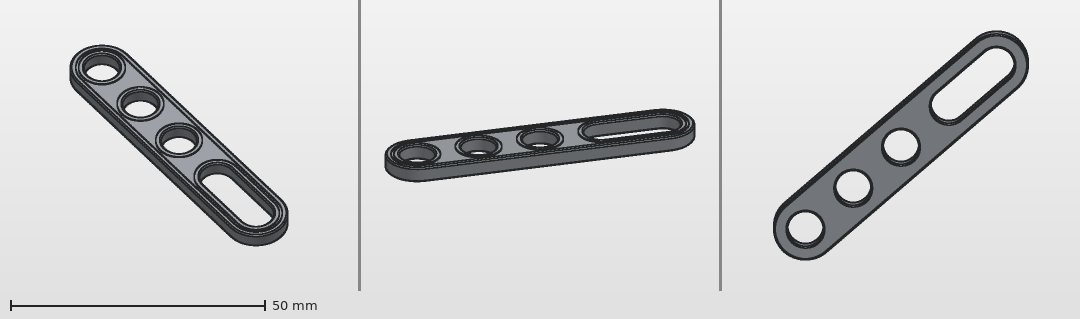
import cadquery as cq

length = 62.5
width = 12.5
thickness = 3.1
pitch = 12.5
hole_count = 3
hole_diameter = 7.0
collar_diameter = 9.2
recess_depth = 0.2
edge_chamfer = 0.3
hole_chamfer = 0.3

end_center = (length - width) / 2
hole_centers = [-end_center + i * pitch for i in range(hole_count)]
slot_start = hole_centers[-1] + pitch
slot_center = (slot_start + end_center) / 2
slot_travel = end_center - slot_start
rim_width = (collar_diameter - hole_diameter) / 2
floor_z = thickness - recess_depth


def openings(diameter, bottom, height):
    """Round prisms and one slot-shaped prism, placed along the bar."""
    base = cq.Workplane("XY").workplane(offset=bottom)
    rounds = base.pushPoints([(x, 0) for x in hole_centers]).circle(diameter / 2).extrude(height)
    slot = base.center(slot_center, 0).slot2D(slot_travel + diameter, diameter).extrude(height)
    return rounds.union(slot)


bar = cq.Workplane("XY").slot2D(length, width).extrude(thickness)
bar = bar.faces("<Z or >Z").chamfer(edge_chamfer)
bar = bar.cut(openings(hole_diameter, 0, thickness))

mouth_edges = [
    edge
    for face in bar.faces("<Z or >Z").vals()
    for wire in face.innerWires()
    for edge in wire.Edges()
]
bar = bar.newObject(mouth_edges).chamfer(hole_chamfer)

recess = (
    cq.Workplane("XY")
    .workplane(offset=floor_z)
    .slot2D(length - 2 * rim_width, width - 2 * rim_width)
    .extrude(recess_depth)
    .cut(openings(collar_diameter, floor_z, recess_depth))
)

result = bar.cut(recess)